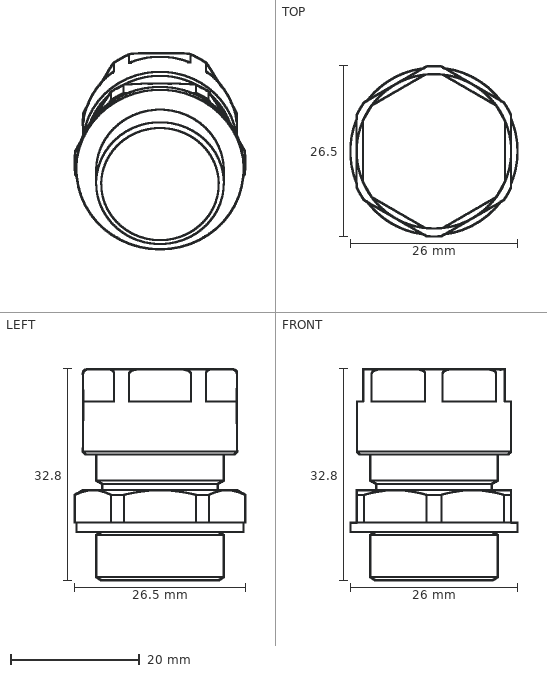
import cadquery as cq
import math

total_height = 32.8
flange_bottom = 7.5
flange_top = 9.0
lower_hex_top = 14.0
neck_top = 15.0
cap_bottom = 19.5
cap_hex_bottom = 27.8

thread_diameter = 19.85
neck_diameter = 18.0
flange_diameter = 26.0
cap_diameter = 24.0
lower_hex_flats = cap_diameter
lower_hex_corner_diameter = 26.5
cap_hex_flats = 22.0

thread_chamfer_height = 0.5
thread_chamfer_depth = (thread_diameter - neck_diameter) / 2
end_chamfer_depth = 0.8
cap_chamfer = 0.5
cap_top_fillet = 0.7
hex_chamfer_angle = 30.0


def cylinder(diameter, bottom, top):
    return cq.Workplane("XY").workplane(offset=bottom).circle(diameter / 2).extrude(top - bottom)


def hexagon(across_flats, bottom, top):
    """Hexagonal prism with two flats facing along X and corners on the Y axis."""
    corner_diameter = across_flats / math.cos(math.radians(30))
    prism = cq.Workplane("XY").polygon(6, corner_diameter).extrude(top - bottom)
    return prism.rotate((0, 0, 0), (0, 0, 1), 30).translate((0, 0, bottom))


def turned_thread(bottom, top, bottom_depth, top_depth):
    """Plain thread cylinder, chamfered by the given radial depths at its ends."""
    radius = thread_diameter / 2
    profile = [
        (0, bottom),
        (radius - bottom_depth, bottom),
        (radius, bottom + thread_chamfer_height),
    ]
    if top_depth > 0:
        profile.append((radius, top - thread_chamfer_height))
    profile += [(radius - top_depth, top), (0, top)]
    return cq.Workplane("XZ").polyline(profile).close().revolve(360, (0, 0), (0, 1))


def lower_hex():
    """Wrench hexagon with rounded corners and a conical chamfer on its top."""
    height = lower_hex_top - flange_top
    corner_chamfer_depth = (lower_hex_corner_diameter - lower_hex_flats) / 2
    corner_chamfer_height = corner_chamfer_depth * math.tan(math.radians(hex_chamfer_angle))
    envelope = cylinder(lower_hex_corner_diameter, flange_top, flange_top + height)
    envelope = envelope.faces(">Z").edges().chamfer(corner_chamfer_height, corner_chamfer_depth)
    return hexagon(lower_hex_flats, flange_top, lower_hex_top).intersect(envelope)


def cap():
    """Round cap nut, with wrench flats cut around its filleted upper end."""
    body = cylinder(cap_diameter, cap_bottom, total_height)
    body = body.faces("<Z").edges().chamfer(cap_chamfer)
    body = body.faces(">Z").edges().fillet(cap_top_fillet)
    flats_waste = cylinder(2 * cap_diameter, cap_hex_bottom, total_height).cut(
        hexagon(cap_hex_flats, cap_hex_bottom, total_height)
    )
    return body.cut(flats_waste)


lower_thread = turned_thread(0, flange_bottom, end_chamfer_depth, end_chamfer_depth)
flange = cylinder(flange_diameter, flange_bottom, flange_top)
neck = cylinder(neck_diameter, lower_hex_top, neck_top)
upper_thread = turned_thread(neck_top, cap_bottom, thread_chamfer_depth, 0)

result = lower_thread.union(flange).union(lower_hex()).union(neck).union(upper_thread).union(cap())